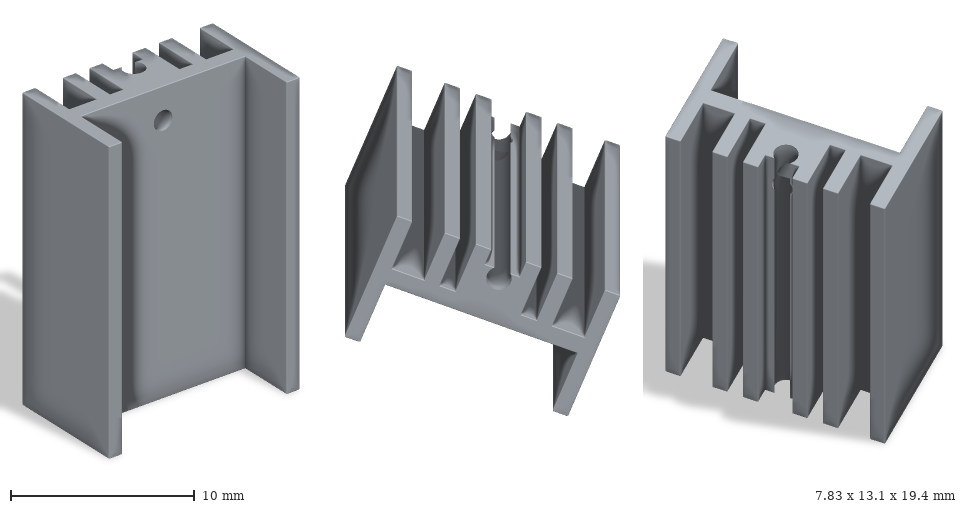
import cadquery as cq

DEPTH = 7.83
WIDTH = 13.09
LENGTH = 19.36
EDGE_RADIUS = 0.05
FLANGE_RADIUS = 0.09

RIB_THICKNESS = 0.915
FIN_DEPTH = 3.06
WEB_THICKNESS = 1.04
MOUTH_HALF_WIDTH = 1.01
MOUTH_DEPTH = 0.96

CHANNEL_RADIUS = 0.69
CHANNEL_DEPTH = 1.47
HOLE_RADIUS = 0.635
HOLE_FROM_TOP = 2.13

TIP_X = -DEPTH / 2
WEB_X = TIP_X + FIN_DEPTH
WEB_BACK_X = WEB_X + WEB_THICKNESS
BLOCK_Y = MOUTH_HALF_WIDTH + RIB_THICKNESS
FIN_Y = BLOCK_Y + RIB_THICKNESS
FLANGE_Y = WIDTH / 2 - RIB_THICKNESS


def bar(x_start, x_end, y_start, y_end):
    """Full-length rectangular bar between the given X and Y limits."""
    size_x = x_end - x_start
    size_y = y_end - y_start
    block = cq.Workplane("XY").box(size_x, size_y, LENGTH, centered=False)
    return block.translate((x_start, y_start, -LENGTH / 2))


def make_body():
    """Web carrying two side flanges, two fins and a central block with a stepped mouth."""
    body = bar(WEB_X, WEB_BACK_X, -FLANGE_Y, FLANGE_Y)
    body = body.union(bar(TIP_X, WEB_X, -BLOCK_Y, BLOCK_Y))
    flange = bar(TIP_X, TIP_X + DEPTH, FLANGE_Y, WIDTH / 2)
    flange = flange.edges("|Z").fillet(FLANGE_RADIUS)
    fin = bar(TIP_X, WEB_X, FIN_Y, FIN_Y + RIB_THICKNESS)
    for rib in (flange, fin):
        body = body.union(rib).union(rib.mirror("XZ"))
    mouth = bar(TIP_X, TIP_X + MOUTH_DEPTH, -MOUTH_HALF_WIDTH, MOUTH_HALF_WIDTH)
    return body.cut(mouth)


def round_edges(body):
    """Round the long edges of the fin and block tips, then the outlines of both end faces."""
    inner_tips = cq.selectors.BoxSelector(
        (TIP_X - EDGE_RADIUS, -FLANGE_Y, -LENGTH), (TIP_X + EDGE_RADIUS, FLANGE_Y, LENGTH)
    )
    body = body.edges("|Z").edges(inner_tips).fillet(EDGE_RADIUS)
    return body.faces("<Z or >Z").edges().fillet(EDGE_RADIUS)


def cut_screw_channel(body):
    """Cut the round channel that opens into the mouth along the full length."""
    start = cq.Workplane("XY", origin=(TIP_X + CHANNEL_DEPTH, 0, -LENGTH / 2))
    return body.cut(start.circle(CHANNEL_RADIUS).extrude(LENGTH))


def cut_cross_hole(body):
    """Drill through the central block and the web near the top end."""
    start = cq.Workplane("YZ", origin=(TIP_X, 0, LENGTH / 2 - HOLE_FROM_TOP))
    return body.cut(start.circle(HOLE_RADIUS).extrude(DEPTH))


body = round_edges(make_body())
body = cut_screw_channel(body)
result = cut_cross_hole(body)